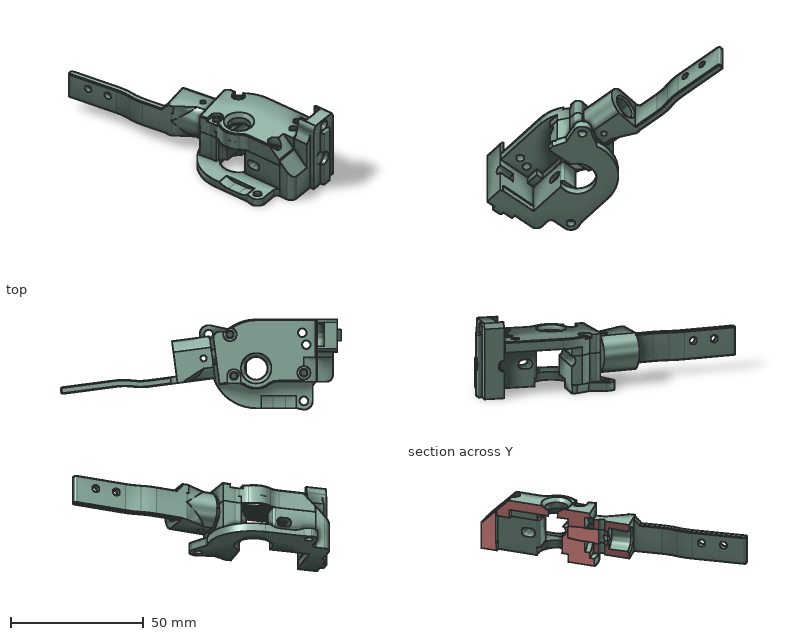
import cadquery as cq
import math

BEYOND = 40.0

PLATE_TOP = 3.2
SPLIT_Z = 14.4
COVER_TOP = 21.7
TOWER_TOP = 29.25
AXIS_Z = 12.46

TILT = 7.5
AXIS_Y = 6.35

BORE_D = 8.5
BORE_MOUTH_D = 11.5
FRONT_Y = -5.0
BACK_Y = 18.46
BLOCK_BACK_Y = 16.5
BLOCK_SIDE_Y = 13.75
BLOCK_FACE_U = -15.3
FACE_LOW_Y = -6.2
LEFT_FRONT_Y = -5.6
BLOCK_CORNER_R = 2.2
ROUND_Y = 1.9
PLATE_ROUND_R = 17.0
COVER_ROUND_R = BACK_Y - ROUND_Y
NOSE_R = 7.8
NOSE_BLEND_R = 6.3
LEFT_BLOCK_X = -6.5
WINDOW_LEFT = -3.7
LEFT_BLOCK_SLANT = [(LEFT_BLOCK_X, -4.2), (-5.4, -3.4), (WINDOW_LEFT, -2.4)]
WINDOW_RIGHT = 6.05
RIGHT_WALL_BACK_Y = 2.15
RIGHT_WALL_CORNER_R = 1.0
COVER_END_X = 22.7
COVER_ROOF_Z = 17.7
COVER_CHAMFER = 0.4
CHAMFER_START_X = -12.5
FLUSH_START_X = -9.0
FLUSH_TOP = 17.0

PLATE_FRONT_Y = ROUND_Y - PLATE_ROUND_R
PLATE_BACK_Y = 17.25
EAR_R = 3.38
EAR_HOLE_D = 3.2
LEFT_EAR = (-17.95, 12.86)
RIGHT_EAR = (18.0, -12.3)
LEFT_EAR_WEB_START = (-21.05, 11.4)
LEFT_EAR_WEB_END = (-17.4, 5.5)
LEFT_EAR_ROOT_Y = 4.6
LEFT_EAR_BACK = [(-5.7, PLATE_BACK_Y), (-10.8, 14.8), (-17.35, 16.24)]
RIGHT_EAR_FILLET_Y = -7.0
CAVITY_D = 14.6
DISH_X = (2.0, 15.15)
DISH_FLAT_X = (6.2, 11.0)
DISH_BACK_Y = -10.3
DISH_DEPTH = 1.25

TOWER_X = COVER_END_X + 0.3
TOWER_FRONT_Y = -5.1
TOWER_CORNER_GAP = 0.8
TOWER_END_X = 29.0
STRIP_END_X = 30.66
STRIP_FRONT_Y = 6.05
TOWER_CORNER_R = 2.6
HEAD_HOLLOW = (5.7, 24.0)
HEAD_SHOULDER = (6.35, 26.5)
HEAD_ROUNDING = (6.65, 28.2)
HEAD_TOP_Y = (7.4, 17.4)
HEAD_BACK_Z = 27.2
TOWER_HOLE = (12.5, 26.45)
TOWER_HOLE_D = 4.2
TOWER_RECESS_D = 8.5
TOWER_RECESS_DEPTH = 2.6
RIB_END_X = 32.12
RIB_WIDTH = 4.3
RIB_TOP = 24.3
RIB_EDGE_R = 0.45
TOWER_GROOVE_D = 4.4
TOWER_GROOVE_START_Y = 12.0
BEVEL_REACH = 39.6
BEVEL_START_X = 17.5
BEVEL_BACK_Y = 4.1
BEVEL_WALL = 1.0

SCREWS = [(-9.87, 12.73), (-8.4, -2.86), (18.0, -1.7)]
OPEN_SCREW = SCREWS[1]
SCREW_HEAD_D = 5.0
SCREW_HEAD_DEPTH = 1.4
BEVEL_SCREW = SCREWS[2]
BEVEL_SCREW_HEAD_DEPTH = 3.6
SCREW_CLEARANCE_D = 3.0
SCREW_THREAD_D = 2.5
SCREW_THREAD_DEPTH = 8.0
THROUGH_HOLES = [(17.4, 13.4), (18.9, 8.9)]
THROUGH_HOLE_D = 3.1
SIDE_SLOT_X = (7.8, 13.3)
SIDE_SLOT_Z = 8.85
SIDE_SLOT_H = 3.6
CROSS_BORE_D = 4.4
CROSS_BORE_X = -3.05

HUB_R = 8.0
HUB_HALF_H = 7.05
HUB_START = -31.0
HUB_END = -16.7
ROUNDING_START = -29.2
ROUNDING_RUN = 8.8
THREAD_D = 10.0
THREAD_DRILL_D = 8.5
THREAD_BOTTOM = -22.8
PILOT_D = 2.2
PIN_HOLE_D = 2.2
PIN_HOLE_U = -20.0
SHAFT_D = 5.7
SHAFT_START = -22.0
SHAFT_END = -6.5
HUB_RECESS_D = 14.1
HUB_RECESS_DEPTH = 2.0
ARM_START = -74.95
ARM_T = 2.6
ARM_JOG = 1.6
JOG_START = -54.0
JOG_MIDDLE = -47.9
JOG_END = -41.9
ARM_TOP = 16.5 - AXIS_Z
ARM_END_R = 0.8
ARM_CHAMFER = 0.35
RAMP_START = -33.3
ARM_HOLE_D = 2.9
ARM_HOLES_U = [-66.2, -57.7]


def on_axis(body):
    """Move a body from the lever axis's frame to its place in the part."""
    return body.rotate((0, 0, 0), (0, 0, 1), TILT).translate((0, AXIS_Y, AXIS_Z))


def axis_cylinder(diameter, start, end):
    """Cylinder along the lever axis, in the axis's frame."""
    return cq.Workplane("YZ", origin=(start, 0, 0)).circle(diameter / 2).extrude(end - start)


def box(x, y, z):
    """Box between pairs of coordinates."""
    size = (x[1] - x[0], y[1] - y[0], z[1] - z[0])
    return cq.Workplane("XY", origin=(x[0], y[0], z[0])).box(*size, centered=False)


def post(point, diameter, low, high):
    """Upright cylinder."""
    return cq.Workplane("XY", origin=(*point, low)).circle(diameter / 2).extrude(high - low)


def housing_prism(low, high):
    """Outline shared by the cover and the block below it."""
    slope = math.tan(math.radians(TILT))

    def face_x(y):
        return BLOCK_FACE_U / math.cos(math.radians(TILT)) - (y - AXIS_Y) * slope

    face_low_x = face_x(FACE_LOW_Y)
    step_x = face_low_x + (LEFT_FRONT_Y - FACE_LOW_Y) / slope
    nose_left_x = -math.sqrt(NOSE_R**2 - LEFT_FRONT_Y**2)
    nose_right_x = math.sqrt(NOSE_R**2 - FRONT_Y**2)
    round_end_x = -math.sqrt(COVER_ROUND_R**2 - (BLOCK_SIDE_Y - ROUND_Y) ** 2)
    round_mid_x = -COVER_ROUND_R * math.sin(math.pi / 8)
    round_mid_y = ROUND_Y + COVER_ROUND_R * math.cos(math.pi / 8)
    prism = (
        cq.Workplane("XY", origin=(0, 0, low))
        .moveTo(face_low_x, FACE_LOW_Y)
        .lineTo(step_x, LEFT_FRONT_Y)
        .lineTo(nose_left_x, LEFT_FRONT_Y)
        .threePointArc((0, -NOSE_R), (nose_right_x, FRONT_Y))
        .lineTo(COVER_END_X, FRONT_Y)
        .lineTo(COVER_END_X, BACK_Y)
        .lineTo(0, BACK_Y)
        .threePointArc((round_mid_x, round_mid_y), (round_end_x, BLOCK_SIDE_Y))
        .lineTo(face_x(BLOCK_SIDE_Y), BLOCK_SIDE_Y)
        .close()
        .extrude(high - low)
    )
    for x, y, radius in (
        (face_x(BLOCK_SIDE_Y), BLOCK_SIDE_Y, BLOCK_CORNER_R),
        (nose_left_x, LEFT_FRONT_Y, NOSE_BLEND_R),
        (nose_right_x, FRONT_Y, NOSE_BLEND_R),
    ):
        corner = cq.selectors.NearestToPointSelector((x, y, (low + high) / 2))
        prism = prism.edges("|Z").edges(corner).fillet(radius)
    return prism


def bevel_cut():
    """Wedge removed by the 45 degree bevel at the front of the cover and tower."""
    top = TOWER_TOP
    right = STRIP_END_X
    return (
        cq.Workplane("XZ", origin=(0, BEVEL_BACK_Y, 0))
        .polyline([
            (BEVEL_START_X, BEVEL_REACH - BEVEL_START_X),
            (right, BEVEL_REACH - right),
            (right, top),
            (BEVEL_START_X, top),
        ])
        .close()
        .extrude(BEVEL_BACK_Y - TOWER_FRONT_Y)
    )


def axis_clearance():
    """Recess facing the lever's hub and the bore that holds the shaft."""
    recess_end = BLOCK_FACE_U + HUB_RECESS_DEPTH
    recess = axis_cylinder(HUB_RECESS_D, BLOCK_FACE_U - 1, recess_end)
    return on_axis(recess.union(axis_cylinder(SHAFT_D, BLOCK_FACE_U, SHAFT_END)))


def cavity(low, high):
    """Round cavity around the main bore, open to the back behind the right wall."""
    back = box((WINDOW_LEFT, COVER_END_X), (RIGHT_WALL_BACK_Y, BACK_Y), (low, high))
    return back.union(post((0, 0), CAVITY_D, low, high))


def flush_cut():
    """Trims the start of the nose back to the left block's front face."""
    return box((FLUSH_START_X, LEFT_BLOCK_X), (-NOSE_R, LEFT_FRONT_Y), (PLATE_TOP, FLUSH_TOP))


def through_holes():
    holes = cq.Workplane("XY").pushPoints(THROUGH_HOLES).circle(THROUGH_HOLE_D / 2)
    return holes.extrude(COVER_TOP)


def base_plate():
    diagonal = EAR_R * math.sqrt(0.5)
    right_x = RIGHT_EAR[0] + EAR_R
    root_x = -math.sqrt(PLATE_ROUND_R**2 - (LEFT_EAR_ROOT_Y - ROUND_Y) ** 2)
    round_mid = PLATE_ROUND_R * math.sqrt(0.5)
    plate = (
        cq.Workplane("XY")
        .moveTo(0, PLATE_FRONT_Y)
        .lineTo(DISH_X[1], PLATE_FRONT_Y)
        .lineTo(RIGHT_EAR[0], RIGHT_EAR[1] - EAR_R)
        .threePointArc((RIGHT_EAR[0] + diagonal, RIGHT_EAR[1] - diagonal), (right_x, RIGHT_EAR[1]))
        .lineTo(right_x, RIGHT_EAR_FILLET_Y)
        .tangentArcPoint((TOWER_X + TOWER_CORNER_GAP, TOWER_FRONT_Y), relative=False)
        .lineTo(TOWER_X + TOWER_CORNER_GAP, PLATE_BACK_Y)
        .lineTo(*LEFT_EAR_BACK[0])
        .lineTo(*LEFT_EAR_BACK[1])
        .lineTo(*LEFT_EAR_BACK[2])
        .threePointArc((LEFT_EAR[0] - diagonal, LEFT_EAR[1] + diagonal), LEFT_EAR_WEB_START)
        .lineTo(*LEFT_EAR_WEB_END)
        .lineTo(root_x, LEFT_EAR_ROOT_Y)
        .threePointArc((-round_mid, ROUND_Y - round_mid), (0, PLATE_FRONT_Y))
        .close()
        .extrude(PLATE_TOP)
    )
    ear_holes = cq.Workplane("XY").pushPoints([LEFT_EAR, RIGHT_EAR]).circle(EAR_HOLE_D / 2)
    plate = plate.cut(ear_holes.extrude(PLATE_TOP))
    return plate.cut(cavity(0, PLATE_TOP)).cut(edge_dish())


def edge_dish():
    """Shallow dish: a flat floor with an arc rising at each end."""
    floor = PLATE_TOP - DISH_DEPTH
    run = DISH_FLAT_X[0] - DISH_X[0]
    arc_r = (run**2 + DISH_DEPTH**2) / (2 * DISH_DEPTH)
    return (
        cq.Workplane("XZ", origin=(0, DISH_BACK_Y, 0))
        .moveTo(DISH_FLAT_X[0], floor)
        .lineTo(DISH_FLAT_X[1], floor)
        .tangentArcPoint((DISH_X[1], PLATE_TOP), relative=False)
        .lineTo(DISH_X[0], PLATE_TOP)
        .radiusArc((DISH_FLAT_X[0], floor), -arc_r)
        .close()
        .extrude(DISH_BACK_Y - PLATE_FRONT_Y)
    )


def lower_blocks():
    """The two blocks that carry the cover, one on each side of the window."""
    height = SPLIT_Z - PLATE_TOP
    keep = (
        cq.Workplane("XY", origin=(0, 0, PLATE_TOP))
        .polyline([
            (-BEYOND, -BEYOND),
            (LEFT_BLOCK_X, -BEYOND),
            *LEFT_BLOCK_SLANT,
            (WINDOW_LEFT, BLOCK_BACK_Y),
            (-BEYOND, BLOCK_BACK_Y),
        ])
        .close()
        .extrude(height)
    )
    left = housing_prism(PLATE_TOP, SPLIT_Z).intersect(keep).cut(flush_cut())
    right = box((WINDOW_RIGHT, TOWER_X), (FRONT_Y, RIGHT_WALL_BACK_Y), (PLATE_TOP, SPLIT_Z))
    right = right.edges("|Z and <X").fillet(RIGHT_WALL_CORNER_R)
    slot_center = (sum(SIDE_SLOT_X) / 2, SIDE_SLOT_Z)
    slot = (
        cq.Workplane("XZ", origin=(0, BLOCK_BACK_Y, 0))
        .center(*slot_center)
        .slot2D(SIDE_SLOT_X[1] - SIDE_SLOT_X[0], SIDE_SLOT_H)
        .extrude(BLOCK_BACK_Y - FRONT_Y)
    )
    cross_bore = (
        cq.Workplane("XZ", origin=(CROSS_BORE_X, BLOCK_BACK_Y, AXIS_Z))
        .circle(CROSS_BORE_D / 2)
        .extrude(BLOCK_BACK_Y + NOSE_R)
    )
    return left.cut(cross_bore).union(right.cut(slot))


def tower():
    """End wall with its raised, drilled head and the narrow rib on its outer face."""
    profile = (
        cq.Workplane("YZ", origin=(TOWER_X, 0, 0))
        .moveTo(TOWER_FRONT_Y, 0)
        .lineTo(TOWER_FRONT_Y, COVER_TOP)
        .lineTo(BEVEL_BACK_Y, COVER_TOP)
        .threePointArc(HEAD_HOLLOW, HEAD_SHOULDER)
        .threePointArc(HEAD_ROUNDING, (HEAD_TOP_Y[0], TOWER_TOP))
        .lineTo(HEAD_TOP_Y[1], TOWER_TOP)
        .lineTo(BACK_Y, HEAD_BACK_Z)
        .lineTo(BACK_Y, 0)
        .close()
        .extrude(STRIP_END_X - TOWER_X)
    )
    step = box((TOWER_END_X, STRIP_END_X), (TOWER_FRONT_Y, STRIP_FRONT_Y), (0, TOWER_TOP))
    body = profile.cut(step)
    corner = cq.selectors.NearestToPointSelector((TOWER_END_X, TOWER_FRONT_Y, COVER_TOP / 2))
    body = body.edges("|Z").edges(corner).fillet(TOWER_CORNER_R)
    head = cq.Workplane("YZ", origin=(TOWER_X, *TOWER_HOLE))
    hole = head.circle(TOWER_HOLE_D / 2).extrude(STRIP_END_X - TOWER_X)
    recess = head.circle(TOWER_RECESS_D / 2).extrude(TOWER_RECESS_DEPTH)
    recess = recess.union(box(
        (TOWER_X, TOWER_X + TOWER_RECESS_DEPTH),
        (TOWER_HOLE[0] - TOWER_RECESS_D / 2, TOWER_HOLE[0] + TOWER_RECESS_D / 2),
        (TOWER_HOLE[1], TOWER_TOP),
    ))
    groove = (
        cq.Workplane("XZ", origin=(TOWER_X, BACK_Y, AXIS_Z))
        .circle(TOWER_GROOVE_D / 2)
        .extrude(BACK_Y - TOWER_GROOVE_START_Y)
    )
    rib_y = (TOWER_HOLE[0] - RIB_WIDTH / 2, TOWER_HOLE[0] + RIB_WIDTH / 2)
    rib = box((STRIP_END_X, RIB_END_X), rib_y, (0, RIB_TOP))
    rib = rib.edges("(|Z and >X) or (>X and >Z)").fillet(RIB_EDGE_R)
    bore = on_axis(axis_cylinder(SHAFT_D, STRIP_END_X, BEYOND))
    return body.cut(hole).cut(recess).cut(groove).union(rib).cut(bore)


def base():
    body = base_plate().union(lower_blocks()).union(tower()).cut(bevel_cut())
    body = body.cut(axis_clearance()).cut(through_holes())
    for point in SCREWS:
        body = body.cut(post(point, SCREW_THREAD_D, SPLIT_Z - SCREW_THREAD_DEPTH, SPLIT_Z))
    return body


def cover():
    bevelled = cq.selectors.BoxSelector((CHAMFER_START_X, -BEYOND, SPLIT_Z), (BEYOND, BEYOND, BEYOND))
    body = housing_prism(SPLIT_Z, COVER_TOP).faces(">Z").edges(bevelled).chamfer(COVER_CHAMFER)
    below_bevel = box(
        (BEVEL_START_X, COVER_END_X), (FRONT_Y, BEVEL_BACK_Y + BEVEL_WALL), (SPLIT_Z, COVER_ROOF_Z)
    )
    body = body.cut(flush_cut()).cut(cavity(SPLIT_Z, COVER_ROOF_Z).cut(below_bevel))
    rim = box((-BEYOND, COVER_END_X), (BLOCK_BACK_Y, BACK_Y), (SPLIT_Z, COVER_ROOF_Z))
    body = body.cut(rim).cut(bevel_cut()).cut(axis_clearance()).cut(through_holes())
    body = body.cut(post((0, 0), BORE_D, SPLIT_Z, COVER_TOP))
    mouth_depth = (BORE_MOUTH_D - BORE_D) / 2
    mouth = cq.Solid.makeCone(BORE_D / 2, BORE_MOUTH_D / 2, mouth_depth)
    body = body.cut(cq.Workplane(mouth.translate(cq.Vector(0, 0, COVER_TOP - mouth_depth))))
    for point in SCREWS:
        head_z = COVER_TOP - (BEVEL_SCREW_HEAD_DEPTH if point == BEVEL_SCREW else SCREW_HEAD_DEPTH)
        body = body.cut(post(point, SCREW_CLEARANCE_D, SPLIT_Z, COVER_TOP))
        body = body.cut(post(point, SCREW_HEAD_D, head_z, COVER_TOP))
    x, y = OPEN_SCREW
    half = SCREW_HEAD_D / 2
    return body.cut(box((x - half, x + half), (y - NOSE_R, y), (COVER_TOP - SCREW_HEAD_DEPTH, COVER_TOP)))


def rounded_corner():
    """Upper half of the surface that runs from the hub's square corner into the barrel.

    At each height it is a straight line from the square corner to a point on the
    barrel, and that point moves along the hub in proportion to its height.
    """
    levels = 6
    lowest = 0.02 * HUB_HALF_H
    step = (HUB_HALF_H - lowest) / (levels - 1)
    heights = [lowest + step * level for level in range(levels)]
    section = cq.Workplane("XY", origin=(0, 0, heights[0]))
    for height in heights:
        reach = ROUNDING_START + ROUNDING_RUN * height / HUB_HALF_H
        section = section.polyline([
            (ROUNDING_START, 0),
            (ROUNDING_START, -HUB_R),
            (reach, -math.sqrt(HUB_R**2 - height**2)),
            (reach, 0),
        ]).close()
        if height < heights[-1]:
            section = section.workplane(offset=step)
    return section.loft(combine=True)


def lever_hub():
    """Flat-sided barrel; its square front corner rounds off towards the housing."""
    barrel = axis_cylinder(2 * HUB_R, HUB_START, HUB_END)
    flats = box((HUB_START, HUB_END), (-HUB_R, HUB_R), (-HUB_HALF_H, HUB_HALF_H))
    square = box((HUB_START, ROUNDING_START), (-HUB_R, 0), (-HUB_HALF_H, HUB_HALF_H))
    upper = rounded_corner()
    lower = upper.mirror("XY")
    return barrel.intersect(flats).union(square).union(upper).union(lower)


def lever_arm():
    """Thin arm with an S-shaped jog, a rounded tip and two holes."""
    inner = -HUB_R + ARM_T
    plan = (
        cq.Workplane("XY", origin=(0, 0, -HUB_HALF_H))
        .moveTo(HUB_START, -HUB_R)
        .lineTo(JOG_END, -HUB_R)
        .tangentArcPoint((JOG_MIDDLE, -HUB_R + ARM_JOG / 2), relative=False)
        .tangentArcPoint((JOG_START, -HUB_R + ARM_JOG), relative=False)
        .lineTo(ARM_START, -HUB_R + ARM_JOG)
        .lineTo(ARM_START, inner + ARM_JOG)
        .lineTo(JOG_START, inner + ARM_JOG)
        .tangentArcPoint((JOG_MIDDLE, inner + ARM_JOG / 2), relative=False)
        .tangentArcPoint((JOG_END, inner), relative=False)
        .lineTo(HUB_START, inner)
        .close()
        .extrude(ARM_TOP + HUB_HALF_H)
    )
    arm = plan.edges("|Z and <X").fillet(ARM_END_R)
    arm = arm.faces("<Z or >Z").edges("not >X").chamfer(ARM_CHAMFER)
    rise = HUB_HALF_H - ARM_TOP
    ramp = (
        cq.Workplane("XZ", origin=(0, inner, 0))
        .polyline([
            (RAMP_START, ARM_TOP - ARM_CHAMFER),
            (RAMP_START, ARM_TOP),
            (RAMP_START + rise, HUB_HALF_H),
            (HUB_START + ARM_T, HUB_HALF_H),
            (HUB_START + ARM_T, ARM_TOP - ARM_CHAMFER),
        ])
        .close()
        .extrude(ARM_T)
    )
    holes = (
        cq.Workplane("XZ")
        .pushPoints([(u, 0) for u in ARM_HOLES_U])
        .circle(ARM_HOLE_D / 2)
        .extrude(HUB_R)
    )
    return arm.union(ramp).cut(holes)


def pin_hole():
    return post((PIN_HOLE_U, 0), PIN_HOLE_D, -HUB_HALF_H, HUB_HALF_H)


def lever():
    body = lever_hub().union(lever_arm())
    body = body.cut(axis_cylinder(THREAD_DRILL_D, HUB_START, THREAD_BOTTOM))
    mouth = cq.Solid.makeCone(
        THREAD_D / 2, THREAD_DRILL_D / 2, (THREAD_D - THREAD_DRILL_D) / 2,
        cq.Vector(HUB_START, 0, 0), cq.Vector(1, 0, 0),
    )
    body = body.cut(cq.Workplane(mouth))
    body = body.cut(axis_cylinder(PILOT_D, THREAD_BOTTOM, SHAFT_START))
    body = body.cut(axis_cylinder(SHAFT_D, SHAFT_START, HUB_END)).cut(pin_hole())
    return on_axis(body)


def shaft():
    body = axis_cylinder(SHAFT_D, SHAFT_START, SHAFT_END)
    bore = axis_cylinder(PILOT_D, SHAFT_START, PIN_HOLE_U)
    return on_axis(body.cut(bore).cut(pin_hole()))


result = cq.Compound.makeCompound([base().val(), cover().val(), lever().val(), shaft().val()])